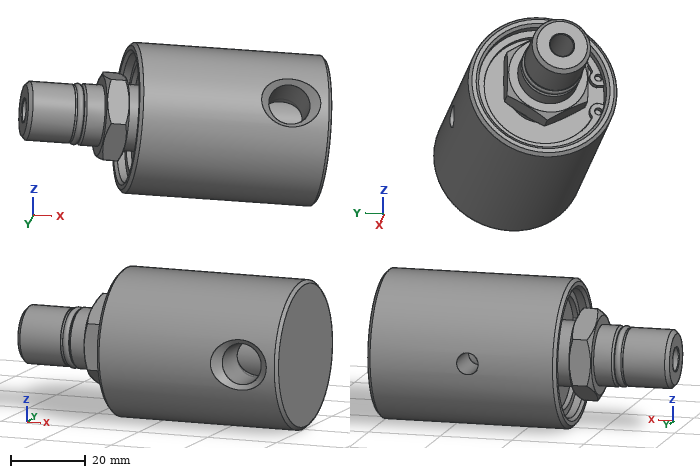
import cadquery as cq
import math

TOTAL_LENGTH = 80.7

NOSE_DIA = 16.0
NOSE_END = 12.75
NOSE_CHAMFER = 1.05
GROOVE_DIA = 15.5
SHANK_DIA = 16.6
SHANK_START = 15.8
COLLAR_DIA = 17.9
BORE_DIA = 6.4
BORE_CHAMFER = 0.25
SEAL_X = 14.2
SEAL_SECTION_DIA = 1.9

HEX_START = 20.7
HEX_END = 26.95
HEX_ACROSS_FLATS = 22.0
HEX_FACE_DIA = 21.55
HEX_CHAMFER_ANGLE = 30.0

HOUSING_DIA = 40.75
HOUSING_START = 28.1
HOUSING_CHAMFER = 0.9
RECESS_DIA = 35.0
RECESS_MOUTH_DIA = 36.6
RECESS_MOUTH_DEPTH = 0.8
RECESS_DEPTH = 4.35
CORE_DIA = 15.8

RING_THICKNESS = 1.4
RING_INNER_DIA = 31.15
LUG_DIA = 4.7
LUG_HOLE_DIA = 2.0
LUG_CENTER_RADIUS = 16.45
LUG_ANGLE = 17.5

PORT_X = 69.4
PORT_DIA = 10.7
PORT_THROAT_DIA = 11.3
PORT_MOUTH_DIA = 16.2
DRAIN_X = 52.7
DRAIN_DIA = 6.0

housing_radius = HOUSING_DIA / 2
floor_x = HOUSING_START + RECESS_DEPTH
ring_face_x = floor_x - RING_THICKNESS


def rod(diameter, start, end):
    """Cylinder on the X axis between two X positions."""
    return cq.Workplane("YZ", origin=(start, 0, 0)).circle(diameter / 2).extrude(end - start)


def cone(start_dia, end_dia, start, end):
    """Cone frustum on the X axis between two X positions."""
    profile = [(start, 0), (start, start_dia / 2), (end, end_dia / 2), (end, 0)]
    return cq.Workplane("XY").polyline(profile).close().revolve(360, (0, 0, 0), (1, 0, 0))


def hexagon():
    """Hexagon with corners at +Z and -Z, its corners chamfered on both faces."""
    corner_dia = HEX_ACROSS_FLATS / math.cos(math.radians(30))
    length = HEX_END - HEX_START
    prism = cq.Workplane("YZ", origin=(HEX_START, 0, 0)).polygon(6, corner_dia).extrude(length)
    prism = prism.rotate((0, 0, 0), (1, 0, 0), 90)
    chamfer_length = (corner_dia - HEX_FACE_DIA) / 2 * math.tan(math.radians(HEX_CHAMFER_ANGLE))
    envelope = (
        cone(HEX_FACE_DIA, corner_dia, HEX_START, HEX_START + chamfer_length)
        .union(rod(corner_dia, HEX_START + chamfer_length, HEX_END - chamfer_length))
        .union(cone(corner_dia, HEX_FACE_DIA, HEX_END - chamfer_length, HEX_END))
    )
    return prism.intersect(envelope)


def seal_bead():
    """Round seal bead that sits in the groove and stands level with the shank."""
    center_radius = (SHANK_DIA - SEAL_SECTION_DIA) / 2
    section = cq.Workplane("XY").center(SEAL_X, center_radius).circle(SEAL_SECTION_DIA / 2)
    return section.revolve(360, (0, -center_radius, 0), (1, -center_radius, 0))


def make_rotor():
    """Stepped shaft with seal bead, hexagon and through bore, ending on the recess floor."""
    shank_bevel = (SHANK_DIA - GROOVE_DIA) / 2
    outline = [
        (0, 0),
        (0, NOSE_DIA / 2 - NOSE_CHAMFER),
        (NOSE_CHAMFER, NOSE_DIA / 2),
        (NOSE_END, NOSE_DIA / 2),
        (NOSE_END, GROOVE_DIA / 2),
        (SHANK_START - shank_bevel, GROOVE_DIA / 2),
        (SHANK_START, SHANK_DIA / 2),
        (HEX_START, SHANK_DIA / 2),
        (HEX_START, COLLAR_DIA / 2),
        (floor_x, COLLAR_DIA / 2),
        (floor_x, 0),
    ]
    shaft = cq.Workplane("XY").polyline(outline).close().revolve(360, (0, 0, 0), (1, 0, 0))
    bore_mouth = cone(BORE_DIA + 2 * BORE_CHAMFER, BORE_DIA, 0, BORE_CHAMFER)
    bore = rod(BORE_DIA, 0, floor_x).union(bore_mouth)
    return shaft.union(seal_bead()).union(hexagon()).cut(bore)


def retaining_ring():
    """Open ring on the recess floor, its gap toward -Y between two drilled lugs."""
    lug_angle = math.radians(LUG_ANGLE)
    lug_y = -LUG_CENTER_RADIUS * math.cos(lug_angle)
    lug_z = LUG_CENTER_RADIUS * math.sin(lug_angle)
    lug_centers = [(lug_y, lug_z), (lug_y, -lug_z)]
    face = cq.Workplane("YZ", origin=(ring_face_x, 0, 0))

    band = face.circle(RECESS_DIA / 2).circle(RING_INNER_DIA / 2).extrude(RING_THICKNESS)
    lugs = face.pushPoints(lug_centers).circle(LUG_DIA / 2).extrude(RING_THICKNESS)
    lugs = lugs.intersect(rod(RECESS_DIA, ring_face_x, floor_x))
    holes = face.pushPoints(lug_centers).circle(LUG_HOLE_DIA / 2).extrude(RING_THICKNESS)

    gap_slope = (lug_z - LUG_DIA / 2) / -lug_y
    gap_z = gap_slope * housing_radius
    gap_outline = [(0, 0), (-housing_radius, gap_z), (-housing_radius, -gap_z)]
    gap = face.polyline(gap_outline).close().extrude(RING_THICKNESS)
    return band.cut(gap).union(lugs).cut(holes)


def radial_cone(x, outer_radius, outer_dia, inner_radius, inner_dia):
    """Cone frustum along -Y at one X position, between two distances from the housing axis."""
    return (
        cq.Workplane("XZ", origin=(x, -inner_radius, 0))
        .circle(inner_dia / 2)
        .workplane(offset=outer_radius - inner_radius)
        .circle(outer_dia / 2)
        .loft()
    )


def port():
    """Tapered port toward -Y with a 45-degree mouth, reaching in to the housing axis."""
    core_radius = CORE_DIA / 2
    throat_radius = housing_radius - (PORT_MOUTH_DIA - PORT_THROAT_DIA) / 2
    throat = radial_cone(PORT_X, throat_radius, PORT_THROAT_DIA, core_radius, PORT_DIA)
    mouth = radial_cone(PORT_X, housing_radius, PORT_MOUTH_DIA, throat_radius, PORT_THROAT_DIA)
    inner_end = cq.Workplane("XZ", origin=(PORT_X, 0, 0)).circle(PORT_DIA / 2).extrude(core_radius)
    return throat.union(mouth).union(inner_end)


def drain():
    """Plain radial hole toward +Y, reaching in to the housing axis."""
    return cq.Workplane("XZ", origin=(DRAIN_X, 0, 0)).circle(DRAIN_DIA / 2).extrude(-housing_radius)


def make_housing():
    """Round housing with a front recess that holds the retaining ring, and two radial holes."""
    body = rod(HOUSING_DIA, HOUSING_START, TOTAL_LENGTH).faces("<X or >X").chamfer(HOUSING_CHAMFER)
    mouth_end = HOUSING_START + RECESS_MOUTH_DEPTH
    recess_mouth = cone(RECESS_MOUTH_DIA, RECESS_DIA, HOUSING_START, mouth_end)
    recess = rod(RECESS_DIA, HOUSING_START, floor_x).union(recess_mouth)
    core = rod(CORE_DIA, floor_x, TOTAL_LENGTH)
    radial_holes = port().union(drain()).cut(core)
    return body.cut(recess).cut(radial_holes).union(retaining_ring())


rotor = make_rotor()
housing = make_housing()

result = cq.Compound.makeCompound([rotor.val(), housing.val()])